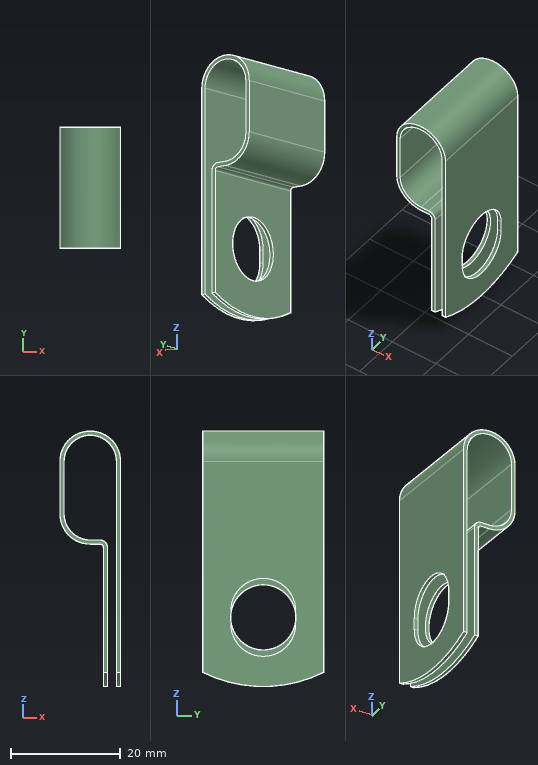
import cadquery as cq

height = 46.85
width = 22.2
depth = 11.15

thickness = 0.8
leg_gap = 1.6
loop_radius = depth / 2
upper_center_z = height - loop_radius
lower_center_z = 31.65
neck_inner_radius = 0.6
neck_outer_radius = neck_inner_radius + thickness

hole_diameter = 11.9
hole_z = 12.7
slot_straight = 2.4
end_rise = 2.62

back_x = loop_radius
front_leg_x = back_x - 2 * thickness - leg_gap
neck_center_x = front_leg_x + thickness - neck_outer_radius
neck_center_z = lower_center_z - loop_radius - neck_inner_radius


def make_strip():
    """Closed side profile of the bent strip, extruded across the width."""
    profile = (
        cq.Workplane("XZ")
        .moveTo(back_x, 0)
        .lineTo(back_x, upper_center_z)
        .threePointArc((0, height), (-loop_radius, upper_center_z))
        .lineTo(-loop_radius, lower_center_z)
        .radiusArc((0, lower_center_z - loop_radius), -loop_radius)
        .lineTo(neck_center_x, lower_center_z - loop_radius)
        .radiusArc((front_leg_x, neck_center_z), neck_inner_radius)
        .lineTo(front_leg_x, 0)
        .lineTo(front_leg_x + thickness, 0)
        .lineTo(front_leg_x + thickness, neck_center_z)
        .radiusArc((neck_center_x, neck_center_z + neck_outer_radius), -neck_outer_radius)
        .lineTo(0, neck_center_z + neck_outer_radius)
        .radiusArc((-loop_radius + thickness, lower_center_z), loop_radius - thickness)
        .lineTo(-loop_radius + thickness, upper_center_z)
        .threePointArc((0, height - thickness), (back_x - thickness, upper_center_z))
        .lineTo(back_x - thickness, 0)
        .close()
    )
    return profile.extrude(width / 2, both=True)


def make_side_outline():
    """Straight-sided blank with an arched lower end."""
    return (
        cq.Workplane("YZ")
        .moveTo(-width / 2, height)
        .lineTo(-width / 2, end_rise)
        .threePointArc((0, 0), (width / 2, end_rise))
        .lineTo(width / 2, height)
        .close()
        .extrude(loop_radius, both=True)
    )


def make_front_hole():
    """Round mounting hole, cut through the front leg only."""
    return (
        cq.Workplane("YZ", origin=(front_leg_x, 0, hole_z))
        .circle(hole_diameter / 2)
        .extrude(thickness)
    )


def make_back_slot():
    """Vertical slot in the back leg, as wide as the round hole and centred on it."""
    return (
        cq.Workplane("YZ", origin=(back_x - thickness, 0, hole_z))
        .slot2D(hole_diameter + slot_straight, hole_diameter, angle=90)
        .extrude(thickness)
    )


clip = make_strip().intersect(make_side_outline())
result = clip.cut(make_front_hole()).cut(make_back_slot())